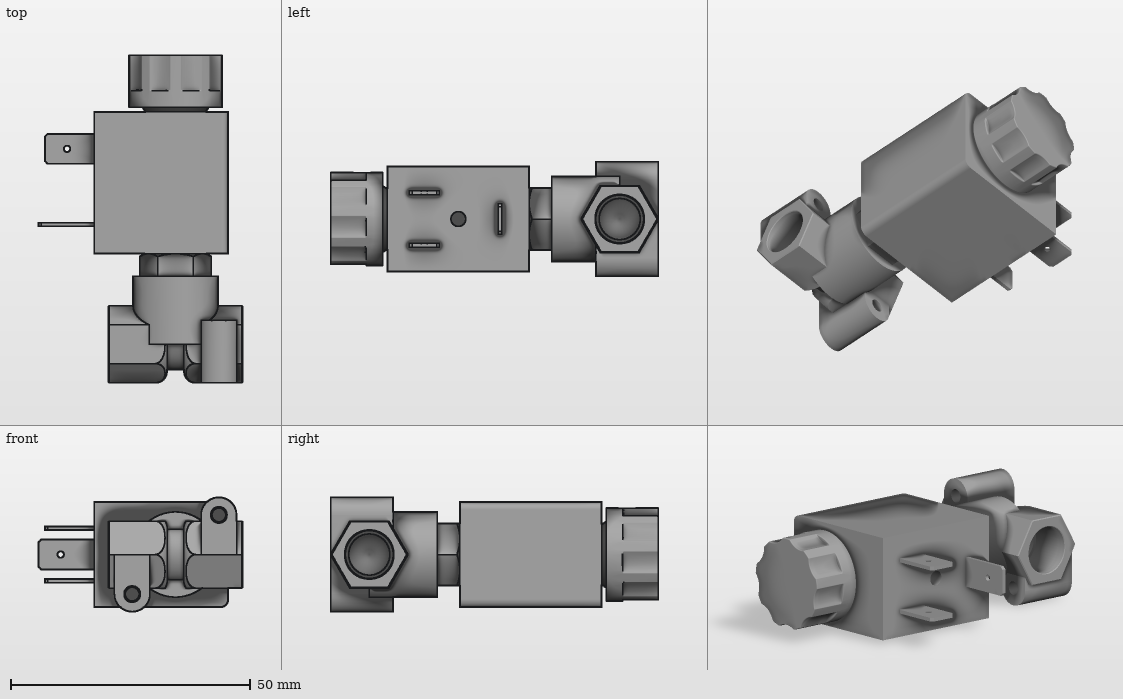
import cadquery as cq
import math


OVERALL_LENGTH = 68.46
OVERALL_HEIGHT = 23.93

COIL_X_MIN = -17.0
COIL_X_MAX = 11.0
COIL_HEIGHT = 22.0
COIL_Y_MIN = 18.9
COIL_LENGTH = 29.6
COIL_EDGE_RADIUS = 1.6
COIL_Y_MAX = COIL_Y_MIN + COIL_LENGTH
COIL_Y_MID = COIL_Y_MIN + COIL_LENGTH / 2
SCREW_HOLE_DIAMETER = 3.1
SCREW_HOLE_DEPTH = 5.0

BLADE_WIDTH = 6.3
BLADE_THICKNESS = 0.8
BLADE_CORNER = 0.6
BLADE_HOLE_DIAMETER = 1.3
BLADE_HOLE_INSET = 4.65
FLAT_BLADE_TIP_X = -27.3
FLAT_BLADE_Y = 40.8
FLAT_BLADE_Z = 5.5
UPRIGHT_BLADE_TIP_X = -28.63
UPRIGHT_BLADE_Y = 25.0

BODY_RADIUS = 8.9
BODY_LENGTH = 14.2
CORE_RADIUS = 5.3
NUT_ACROSS_FLATS = 13.0
NUT_CHAMFER_RADIUS = 6.5
NUT_CHAMFER_ANGLE = 30.0

PORT_ACROSS_FLATS = 14.0
PORT_CORNER_RADIUS = PORT_ACROSS_FLATS / math.sqrt(3)
PORT_OUTER_X = 14.0
PORT_INNER_X = 1.75
PORT_INNER_ROUND = 2.5
PORT_RIM_CHAMFER = 0.2
BORE_RADIUS = 5.0
BORE_DEPTH = 9.0
BORE_CHAMFER = 0.15
DRILL_RADIUS = 4.3
DRILL_TIP_ANGLE = 118.0

LUG_WIDTH = 7.4
LUG_X = 9.05
LUG_TOP_Z = OVERALL_HEIGHT / 2
LUG_Z = LUG_TOP_Z - LUG_WIDTH / 2
LUG_Y_MAX = 5.0
LUG_HOLE_DIAMETER = 2.9
LUG_HOLE_CHAMFER = 0.25

CAP_RADIUS = 9.75
CAP_Y_MIN = 49.45
CAP_Y_MAX = OVERALL_LENGTH - PORT_CORNER_RADIUS
CAP_EDGE_RADIUS = 0.2
NECK_COIL_RADIUS = 6.3
NECK_CAP_RADIUS = 6.9
FLUTE_COUNT = 9
FLUTE_LENGTH = 7.4
FLUTE_RADIUS = 4.5
FLUTE_CENTER_RADIUS = 13.35


def cylinder_y(radius, y_start, y_end, x=0.0, z=0.0):
    """Cylinder along Y between two stations."""
    return cq.Workplane("XZ", origin=(x, y_start, z)).circle(radius).extrude(y_start - y_end)


def box_between(x_range, y_range, z_range):
    """Axis-aligned box given by its limits."""
    sizes = [high - low for low, high in (x_range, y_range, z_range)]
    corner = (x_range[0], y_range[0], z_range[0])
    return cq.Workplane("XY").box(*sizes, centered=False).translate(corner)


def make_coil():
    half_height = COIL_HEIGHT / 2
    coil = box_between((COIL_X_MIN, COIL_X_MAX), (COIL_Y_MIN, COIL_Y_MAX), (-half_height, half_height))
    coil = coil.edges("|Y and >X").fillet(COIL_EDGE_RADIUS)
    screw_hole = (
        cq.Workplane("YZ", origin=(COIL_X_MIN, COIL_Y_MID, 0))
        .circle(SCREW_HOLE_DIAMETER / 2)
        .extrude(SCREW_HOLE_DEPTH)
    )
    return coil.cut(screw_hole)


def make_blade(tip_x):
    """Blade lying flat in the XY plane, centred on the X axis and rooted at the coil."""
    length = COIL_X_MIN - tip_x
    blade = (
        cq.Workplane("XY")
        .box(length, BLADE_WIDTH, BLADE_THICKNESS, centered=(False, True, True))
        .translate((tip_x, 0, 0))
        .edges("|Z and <X")
        .chamfer(BLADE_CORNER)
    )
    hole = (
        cq.Workplane("XY")
        .center(tip_x + BLADE_HOLE_INSET, 0)
        .circle(BLADE_HOLE_DIAMETER / 2)
        .extrude(BLADE_THICKNESS, both=True)
    )
    return blade.cut(hole)


def make_blades():
    flat = make_blade(FLAT_BLADE_TIP_X)
    upright = make_blade(UPRIGHT_BLADE_TIP_X).rotate((0, 0, 0), (1, 0, 0), 90)
    return [
        flat.translate((0, FLAT_BLADE_Y, FLAT_BLADE_Z)),
        flat.translate((0, FLAT_BLADE_Y, -FLAT_BLADE_Z)),
        upright.translate((0, UPRIGHT_BLADE_Y, 0)),
    ]


def make_nut():
    """Hex nut with corners on X, its corners chamfered where it meets the coil."""
    corner_radius = NUT_ACROSS_FLATS / math.sqrt(3)
    chamfer_height = (corner_radius - NUT_CHAMFER_RADIUS) * math.tan(math.radians(NUT_CHAMFER_ANGLE))
    hexagon = (
        cq.Workplane("XZ", origin=(0, COIL_Y_MIN, 0))
        .polygon(6, 2 * corner_radius)
        .extrude(COIL_Y_MIN - BODY_LENGTH)
    )
    envelope = (
        cq.Workplane("XY")
        .moveTo(0, COIL_Y_MIN)
        .lineTo(NUT_CHAMFER_RADIUS, COIL_Y_MIN)
        .lineTo(corner_radius, COIL_Y_MIN - chamfer_height)
        .lineTo(corner_radius, BODY_LENGTH)
        .lineTo(0, BODY_LENGTH)
        .close()
        .revolve(360, (0, 0, 0), (0, 1, 0))
    )
    return hexagon.intersect(envelope)


def make_cap_neck():
    """Conical neck that widens from the coil to the cap."""
    return (
        cq.Workplane("XY")
        .moveTo(0, COIL_Y_MAX)
        .lineTo(NECK_COIL_RADIUS, COIL_Y_MAX)
        .lineTo(NECK_CAP_RADIUS, CAP_Y_MIN)
        .lineTo(0, CAP_Y_MIN)
        .close()
        .revolve(360, (0, 0, 0), (0, 1, 0))
    )


def make_port_block():
    """Hexagonal block on the +X side with corners on Y and a rounded inner end."""
    length = PORT_OUTER_X - PORT_INNER_X
    hexagon = (
        cq.Workplane("YZ", origin=(PORT_INNER_X, 0, 0))
        .polygon(6, 2 * PORT_CORNER_RADIUS)
        .extrude(length)
        .faces(">X")
        .chamfer(PORT_RIM_CHAMFER)
    )
    envelope = (
        cq.Workplane("YZ", origin=(PORT_INNER_X, 0, 0))
        .circle(PORT_CORNER_RADIUS)
        .extrude(length)
        .faces("<X")
        .edges()
        .fillet(PORT_INNER_ROUND)
    )
    return hexagon.intersect(envelope)


def make_port_bore():
    """Stepped bore entering from +X and ending in a drill cone."""
    floor_x = PORT_OUTER_X - BORE_DEPTH
    tip_x = floor_x - DRILL_RADIUS / math.tan(math.radians(DRILL_TIP_ANGLE / 2))
    return (
        cq.Workplane("XY")
        .moveTo(tip_x, 0)
        .lineTo(floor_x, DRILL_RADIUS)
        .lineTo(floor_x, BORE_RADIUS)
        .lineTo(PORT_OUTER_X - BORE_CHAMFER, BORE_RADIUS)
        .lineTo(PORT_OUTER_X, BORE_RADIUS + BORE_CHAMFER)
        .lineTo(PORT_OUTER_X, 0)
        .close()
        .revolve(360, (0, 0, 0), (1, 0, 0))
    )


def make_lug():
    """Round-topped lug rising from the +X port block."""
    half_width = LUG_WIDTH / 2
    y_range = (-PORT_CORNER_RADIUS, LUG_Y_MAX)
    web = box_between((LUG_X - half_width, LUG_X + half_width), y_range, (0, LUG_Z))
    return web.union(cylinder_y(half_width, *y_range, x=LUG_X, z=LUG_Z))


def make_lug_hole():
    """Through hole of the lug, chamfered at its -Y mouth."""
    hole_radius = LUG_HOLE_DIAMETER / 2
    mouth_radius = hole_radius + LUG_HOLE_CHAMFER
    mouth_y = -PORT_CORNER_RADIUS
    return (
        cq.Workplane("XY")
        .moveTo(0, mouth_y)
        .lineTo(mouth_radius, mouth_y)
        .lineTo(hole_radius, mouth_y + LUG_HOLE_CHAMFER)
        .lineTo(hole_radius, LUG_Y_MAX)
        .lineTo(0, LUG_Y_MAX)
        .close()
        .revolve(360, (0, 0, 0), (0, 1, 0))
        .translate((LUG_X, 0, LUG_Z))
    )


def make_valve_body():
    """Cylindrical body with two port blocks related by a half turn about Y."""
    body = cylinder_y(BODY_RADIUS, 0, BODY_LENGTH)
    core = cq.Workplane("YZ").circle(CORE_RADIUS).extrude(PORT_INNER_X, both=True)
    body = body.union(core)
    block = make_port_block().union(make_lug())
    cutter = make_port_bore().union(make_lug_hole())
    for angle in (0, 180):
        body = body.union(block.rotate((0, 0, 0), (0, 1, 0), angle))
    for angle in (0, 180):
        body = body.cut(cutter.rotate((0, 0, 0), (0, 1, 0), angle))
    return body


def make_cap():
    """Cap whose flutes run in from the free end; a rib points to +Z and all edges are eased."""
    cap = cylinder_y(CAP_RADIUS, CAP_Y_MIN, CAP_Y_MAX)
    pitch = 2 * math.pi / FLUTE_COUNT
    for index in range(FLUTE_COUNT):
        angle = (index + 0.5) * pitch
        flute_x = FLUTE_CENTER_RADIUS * math.sin(angle)
        flute_z = FLUTE_CENTER_RADIUS * math.cos(angle)
        cap = cap.cut(cylinder_y(FLUTE_RADIUS, CAP_Y_MAX - FLUTE_LENGTH, CAP_Y_MAX, flute_x, flute_z))
    return cap.edges().fillet(CAP_EDGE_RADIUS)


result = make_coil()
for blade in make_blades():
    result = result.union(blade)
result = result.union(make_nut())
result = result.union(make_cap_neck())
result = result.union(make_valve_body())
result = result.union(make_cap())